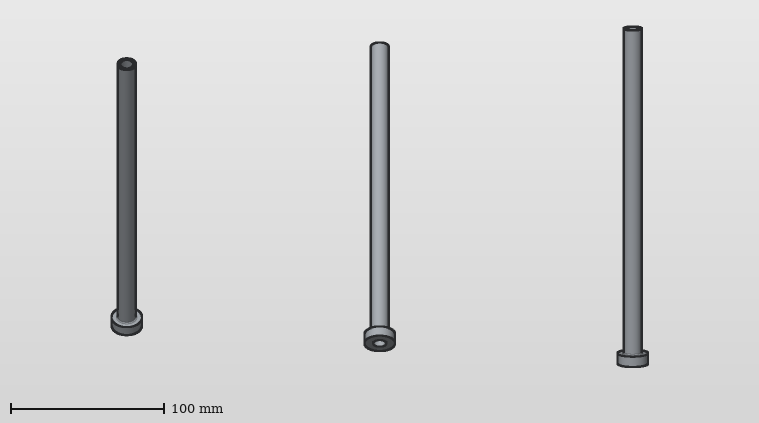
import cadquery as cq

total_length = 225.0
head_diameter = 20.0
head_height = 7.0
tube_diameter = 12.0
bore_diameter = 8.5
neck_fillet = 0.7

head_radius = head_diameter / 2
tube_radius = tube_diameter / 2
bore_radius = bore_diameter / 2

fillet_start = (tube_radius + neck_fillet, head_height)
fillet_end = (tube_radius, head_height + neck_fillet)
section = (
    cq.Workplane("XZ")
    .moveTo(bore_radius, 0)
    .lineTo(head_radius, 0)
    .lineTo(head_radius, head_height)
    .lineTo(*fillet_start)
    .radiusArc(fillet_end, neck_fillet)
    .lineTo(tube_radius, total_length)
    .lineTo(bore_radius, total_length)
    .close()
)

result = section.revolve(360, (0, 0, 0), (0, 1, 0))